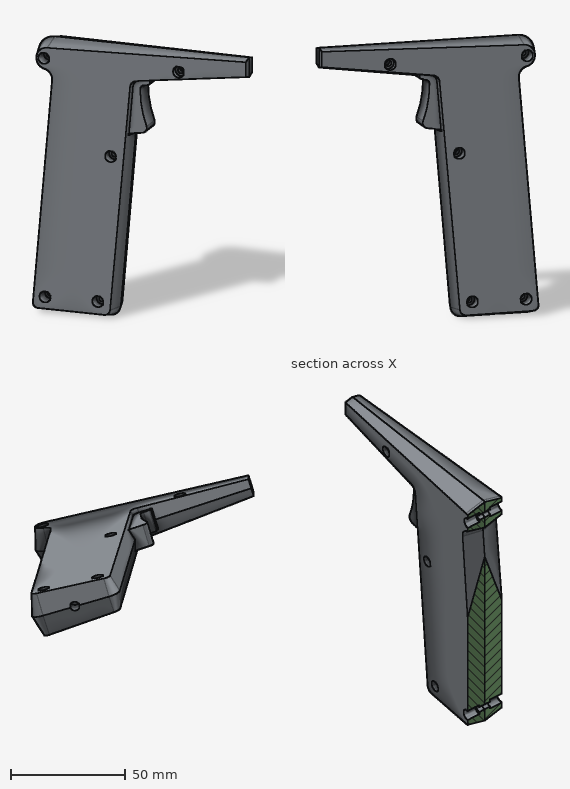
import cadquery as cq
import math


head_radius = 7.5
total_height = 124.5
tip_x = 91.0
tip_height = 9.0
arm_angle = 8.0
grip_lean = 5.0
grip_width = 40.0
grip_back_x = 0.68
neck_radius = 2.0
butt_corner_radius = 5.0
arm_corner_radius = 1.5

wall_draft = 15.0
tip_half_thickness = 4.0
face_angle = 3.5
blank_depth = 12.0

screw_diameter = 2.7
screw_head_diameter = 5.0
screw_head_floor = 3.0
screw_inset = 8.0
head_screw = (-1.4, 0.0)
arm_screw = (60.2, -0.8)
front_screw_z = -42.2

cable_diameter = 4.0
cable_depth = 10.0

trigger_thickness = 10.0
slot_depth = 3.0
slot_bottom_z = -32.4
slot_end_x = 47.1
trigger_end_gap = 0.7
trigger_bottom_gap = 0.5
toe_depth = 0.5
finger_top = (42.0, -9.4)
finger_middle = (42.5, -18.1)
finger_end = (46.1, -30.2)
finger_corner_radius = 2.5
toe_radius = 0.6
finger_root_radius = 1.8

lean_slope = math.tan(math.radians(grip_lean))
arm_slope = math.tan(math.radians(arm_angle))
face_slope = math.tan(math.radians(face_angle))
bottom_z = head_radius - total_height
grip_front_x = grip_back_x + grip_width / math.cos(math.radians(grip_lean))
tip_bottom_z = head_radius - tip_height


def grip_back(z):
    """X of the grip's back edge at height z."""
    return grip_back_x + lean_slope * z


def grip_front(z, inset=0.0):
    """X of the grip's front edge at height z, moved into the grip by inset."""
    return grip_front_x - inset / math.cos(math.radians(grip_lean)) + lean_slope * z


def arm_underside(x, inset=0.0):
    """Z of the arm's underside at x, moved up into the arm by inset."""
    return tip_bottom_z - (tip_x - x) * arm_slope + inset / math.cos(math.radians(arm_angle))


def inner_corner(inset=0.0):
    """Point where the grip's front edge meets the arm's underside, both moved in by inset."""
    base_x = grip_front(0, inset)
    base_z = arm_underside(0, inset)
    x = (base_x + lean_slope * base_z) / (1 - lean_slope * arm_slope)
    return (x, arm_underside(x, inset))


def neck_points():
    """Tangent points and middle of the neck arc between the head circle and the grip's back."""
    lean = math.radians(grip_lean)
    across = grip_back_x * math.cos(lean) - neck_radius
    along = -math.sqrt((head_radius + neck_radius) ** 2 - across ** 2)
    centre_x = across * math.cos(lean) + along * math.sin(lean)
    centre_z = -across * math.sin(lean) + along * math.cos(lean)
    start_angle = math.atan2(-centre_z, -centre_x)
    middle_angle = (start_angle - lean) / 2

    def at(angle):
        return (centre_x + neck_radius * math.cos(angle), centre_z + neck_radius * math.sin(angle))

    return at(start_angle), at(middle_angle), at(-lean)


def extruded_both_ways(outline, width):
    """Extrude an XZ outline symmetrically about the parting plane to the given width."""
    return outline.extrude(width / 2, both=True)


def corner_arc(corner, before, after, radius):
    """Start, middle and end of the arc that rounds a corner between two straight edges."""
    def unit(a, b):
        length = math.dist(a, b)
        return ((b[0] - a[0]) / length, (b[1] - a[1]) / length)

    u = unit(corner, before)
    v = unit(corner, after)
    half_angle = math.acos(u[0] * v[0] + u[1] * v[1]) / 2
    setback = radius / math.tan(half_angle)
    start = (corner[0] + u[0] * setback, corner[1] + u[1] * setback)
    end = (corner[0] + v[0] * setback, corner[1] + v[1] * setback)
    bisector = unit(corner, ((start[0] + end[0]) / 2, (start[1] + end[1]) / 2))
    to_arc = radius / math.sin(half_angle) - radius
    middle = (corner[0] + bisector[0] * to_arc, corner[1] + bisector[1] * to_arc)
    return start, middle, end


def housing_outline():
    """Closed parting outline, run past the tip so that the tip can be cut square."""
    overrun_x = tip_x + blank_depth
    head_top = (0, head_radius)
    head_back = (-head_radius, 0)
    overrun = (overrun_x, arm_underside(overrun_x))
    corner = inner_corner()
    butt_front = (grip_front(bottom_z), bottom_z)
    butt_back = (grip_back(bottom_z), bottom_z)
    neck_start, neck_middle, neck_end = neck_points()
    outline = cq.Workplane("XZ").moveTo(*head_top).lineTo(overrun_x, head_radius).lineTo(*overrun)
    rounded_corners = [
        (corner, overrun, butt_front, arm_corner_radius),
        (butt_front, corner, butt_back, butt_corner_radius),
        (butt_back, butt_front, neck_end, butt_corner_radius),
    ]
    for point, before, after, radius in rounded_corners:
        start, middle, end = corner_arc(point, before, after, radius)
        outline = outline.lineTo(*start).threePointArc(middle, end)
    outline = outline.lineTo(*neck_end).threePointArc(neck_middle, neck_start)
    return outline.threePointArc(head_back, head_top).close()


def thickness_envelope():
    """Wedge on the -Y side that thins towards the tip and ends square at the tip."""
    back_x = -2 * head_radius
    back_half_thickness = tip_half_thickness + (tip_x - back_x) * face_slope
    points = [(back_x, 0), (tip_x, 0), (tip_x, -tip_half_thickness), (back_x, -back_half_thickness)]
    return cq.Workplane("XY").workplane(offset=bottom_z).polyline(points).close().extrude(total_height)


def screw_holes():
    """Stepped screw holes on the -Y side: a bore from the parting plane and a wider head recess."""
    butt_z = bottom_z + screw_inset
    places = [
        head_screw,
        arm_screw,
        (grip_front(front_screw_z) - screw_inset, front_screw_z),
        (grip_back(butt_z) + screw_inset, butt_z),
        (grip_front(butt_z) - screw_inset, butt_z),
    ]
    bores = cq.Workplane("XZ").pushPoints(places).circle(screw_diameter / 2).extrude(blank_depth)
    heads = (
        cq.Workplane("XZ", origin=(0, -screw_head_floor, 0))
        .pushPoints(places)
        .circle(screw_head_diameter / 2)
        .extrude(blank_depth)
    )
    return bores.union(heads)


def cable_hole():
    """Blind round hole up into the middle of the butt, shared by both halves."""
    centre_x = (grip_back(bottom_z) + grip_front(bottom_z)) / 2
    start = cq.Workplane("XY", origin=(centre_x, 0, bottom_z))
    return start.circle(cable_diameter / 2).extrude(cable_depth)


def trigger_slot():
    """Slot along the grip's front edge and the arm's underside that holds the trigger."""
    outline = cq.Workplane("XZ").polyline([
        (grip_front(slot_bottom_z, slot_depth), slot_bottom_z),
        inner_corner(slot_depth),
        (slot_end_x, arm_underside(slot_end_x, slot_depth)),
        (slot_end_x, slot_bottom_z),
    ]).close()
    return extruded_both_ways(outline, trigger_thickness)


def housing_half():
    """Housing half on the -Y side."""
    blank = housing_outline().extrude(blank_depth, taper=wall_draft)
    half = blank.intersect(thickness_envelope())
    return half.cut(screw_holes()).cut(cable_hole()).cut(trigger_slot())


def trigger_body():
    """Trigger seated against the back of its slot, with a concave finger edge."""
    end_x = slot_end_x - trigger_end_gap
    bottom_z_at_back = slot_bottom_z + trigger_bottom_gap
    back_x = grip_front(bottom_z_at_back, slot_depth)
    toe = (end_x, arm_underside(end_x, -toe_depth))
    outline = (
        cq.Workplane("XZ")
        .moveTo(back_x, bottom_z_at_back)
        .lineTo(*inner_corner(slot_depth))
        .lineTo(end_x, arm_underside(end_x, slot_depth))
        .lineTo(*toe)
        .lineTo(*finger_top)
        .threePointArc(finger_middle, finger_end)
        .close()
    )
    body = extruded_both_ways(outline, trigger_thickness)
    rounded_corners = [
        (toe, toe_radius),
        (finger_top, finger_root_radius),
        (finger_end, finger_corner_radius),
    ]
    for (x, z), radius in rounded_corners:
        edge = cq.selectors.NearestToPointSelector((x, 0, z))
        body = body.edges("|Y").edges(edge).fillet(radius)
    return body


front_half = housing_half().solids()
back_half = front_half.mirror("XZ").solids()
trigger = trigger_body().solids()

result = cq.Compound.makeCompound([front_half.val(), back_half.val(), trigger.val()])